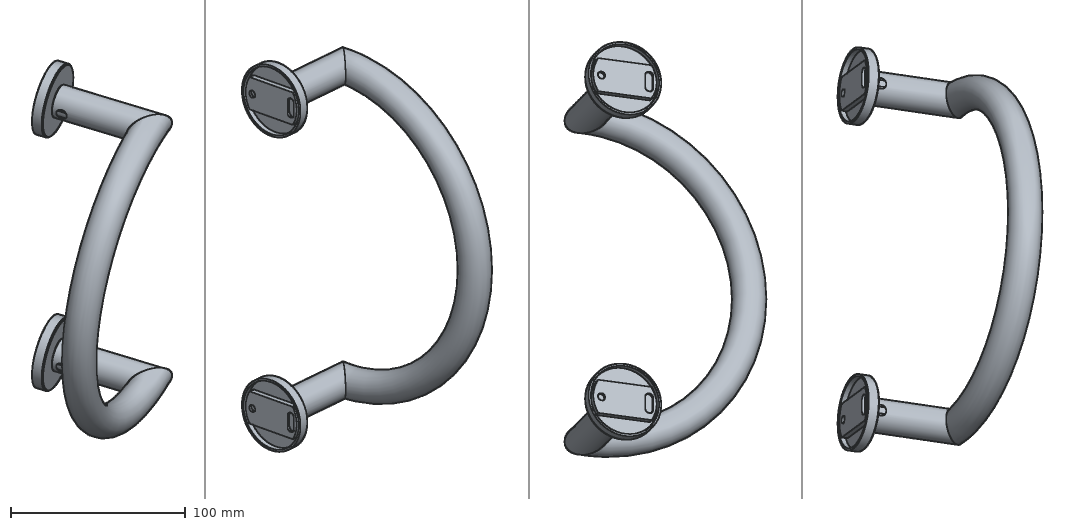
import cadquery as cq

overall_height = 242.5
overall_reach = 73.7
tube_diameter = 20.0

cover_diameter = 44.5
cover_thickness = 6.8
cover_edge_chamfer = 0.7
cover_recess_diameter = 41.7
cover_recess_depth = 3.6

plate_diameter = 38.5
plate_width = 20.4
plate_pocket_depth = 1.7
plate_hole_diameter = 4.4
plate_hole_offset = 14.3
plate_slot_length = 12.1
plate_slot_width = 4.9
plate_slot_offset = 14.8

post_end_chamfer = 0.5

screw_diameter = 6.5
screw_length = 6.0
screw_end_recess = 0.2
screw_center_x = 13.0

tube_radius = tube_diameter / 2
mount_height = (overall_height - cover_diameter) / 2
mount_heights = (-mount_height, mount_height)
grip_radius = mount_height
grip_center_x = overall_reach - tube_radius

mitre_reach = tube_diameter
mitre_inner_corner = (grip_center_x - mitre_reach, -mitre_reach)
mitre_outer_corner = (grip_center_x + mitre_reach, mitre_reach)


def x_cylinder(diameter, start_x, length):
    """A cylinder along X, centred on the X axis."""
    return cq.Workplane("YZ", origin=(start_x, 0, 0)).circle(diameter / 2).extrude(length)


def z_prism(corners, half_height):
    """A prism along Z with the given (x, y) corners, centred on Z = 0."""
    return cq.Workplane("XY").polyline(corners).close().extrude(half_height, both=True)


def make_cover():
    body = x_cylinder(cover_diameter, 0, cover_thickness)
    body = body.faces(">X").chamfer(cover_edge_chamfer)
    recess = x_cylinder(cover_recess_diameter, 0, cover_recess_depth)
    return body.cut(recess)


def make_plate():
    """A band with rounded ends, with a round pocket and an upright slot pocket in its -X face."""
    disc = x_cylinder(plate_diameter, 0, cover_recess_depth)
    band = cq.Workplane("XY").box(2 * cover_recess_depth, plate_diameter, plate_width)
    hole = x_cylinder(plate_hole_diameter, 0, plate_pocket_depth).translate((0, plate_hole_offset, 0))
    slot = (
        cq.Workplane("YZ", origin=(0, -plate_slot_offset, 0))
        .slot2D(plate_slot_length, plate_slot_width, 90)
        .extrude(plate_pocket_depth)
    )
    return disc.intersect(band).cut(hole).cut(slot)


def make_screw():
    """A plain shank whose flat outer end lies just below the crest of the post."""
    end_y = screw_end_recess - tube_radius
    return (
        cq.Workplane("XZ", origin=(screw_center_x, end_y, 0))
        .circle(screw_diameter / 2)
        .extrude(-screw_length)
    )


def make_post():
    """The mitred bar, with a pocket that fits the screw."""
    bar = x_cylinder(tube_diameter, cover_thickness, overall_reach - cover_thickness)
    bar = bar.faces("<X").chamfer(post_end_chamfer)
    post_side = z_prism(
        [mitre_outer_corner, mitre_inner_corner, (0, -mitre_reach), (0, mitre_reach)],
        tube_diameter,
    )
    return bar.intersect(post_side).cut(make_screw())


def make_grip():
    """The part of a round ring that lies on the grip side of the mitre."""
    ring = cq.Workplane(
        cq.Solid.makeTorus(grip_radius, tube_radius, cq.Vector(grip_center_x, 0, 0), cq.Vector(1, 0, 0))
    )
    inner_x = mitre_inner_corner[0]
    outer_x = mitre_outer_corner[0]
    grip_side = z_prism(
        [mitre_outer_corner, mitre_inner_corner, (inner_x, -overall_height), (outer_x, -overall_height)],
        overall_height,
    )
    return ring.intersect(grip_side)


def at_both_mounts(body):
    """One separate copy of the body's solid on each mount axis."""
    return [body.translate((0, 0, height)).val() for height in mount_heights]


grip = make_grip()
posts = at_both_mounts(make_post())
covers = at_both_mounts(make_cover())
plates = at_both_mounts(make_plate())
screws = at_both_mounts(make_screw())

result = cq.Compound.makeCompound([grip.val(), *posts, *covers, *plates, *screws])